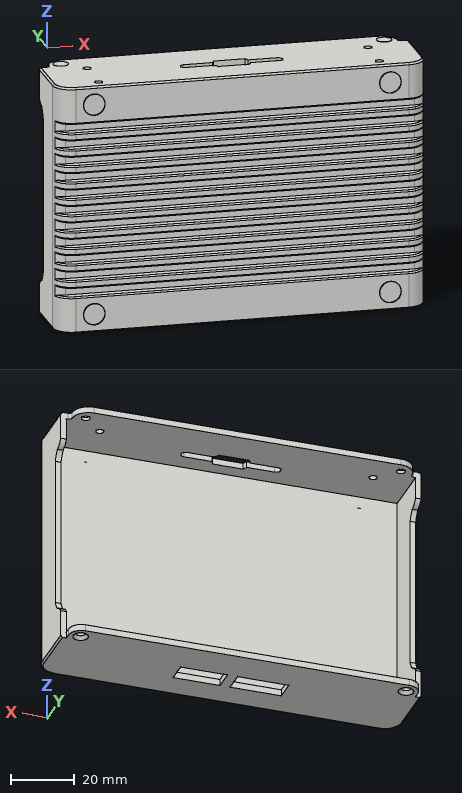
import cadquery as cq
import math

LENGTH = 120.0
DEPTH = 30.0
HEIGHT = 81.0
HALF_LENGTH = LENGTH / 2
CORNER_RADIUS = 6.0
EDGE_CHAMFER = 0.6

PLATE_THICKNESS = 2.2
SIDE_WALL = 1.9
BACK_WALL = 6.0
SHOULDER_Y = 23.6

FIN_COUNT = 10
FIN_THICKNESS = 2.6
FIN_CHAMFER = 0.5
END_BLOCK = 12.1
GROOVE_DEPTH = 3.0
GROOVE_END_Y = 4.2
GROOVE_CORNER_RADIUS = 4.8

CUTOUT_Y = 18.5
CUTOUT_START = 9.5
CUTOUT_KINK = (20.5, 11.9)
CUTOUT_FULL = 15.1
CONVEX_MID = (22.7, 10.7)
CONCAVE_MID = (19.5, 13.2)

TOP_INSET = 3.5
TOP_CORNER_RADIUS = 5.4
TOP_ROOT_RADIUS = 1.0
BOTTOM_INSET = SIDE_WALL
BOTTOM_CORNER_RADIUS = 4.2

SCREW_DIAMETER = 2.8
SCREW_HEAD_DIAMETER = 4.9
SCREW_HEAD_ANGLE = 90.0
SCREW_Y = 25.9
TOP_SCREW_X = 52.5
BOTTOM_SCREW_X = 54.1

PIN_DIAMETER = 2.5
PIN_X = 45.5
THROUGH_PIN_Y = 19.3
BLIND_PIN_Y = 4.5
BLIND_PIN_DEPTH = 6.0
DRILL_TIP_ANGLE = 118.0

SLOT_Y = 14.0
SLOT_LENGTH = 33.1
SLOT_WIDTH = 3.0
SLOT_WIDE_WIDTH = 5.9
SLOT_WIDE_LENGTH = 10.1
SLOT_FLARE = 0.7
WINDOW_EDGE = 18.0
WINDOW_WIDTH = 7.2
WINDOW_BAR = (-1.0, 2.4)

FOOT_DIAMETER = 7.0
FOOT_RECESS = 0.4
FOOT_X = 48.0
FOOT_FROM_END = 6.0


def box(x_range, y_range, z_range):
    """Axis-aligned box between the given limits."""
    size = [high - low for low, high in (x_range, y_range, z_range)]
    corner = (x_range[0], y_range[0], z_range[0])
    return cq.Workplane("XY").box(*size, centered=False).translate(corner)


def outer_half_length(y):
    """Half length of the rounded outline at a given Y inside the corner radius."""
    reach = math.sqrt(CORNER_RADIUS**2 - (CORNER_RADIUS - y) ** 2)
    return HALF_LENGTH - CORNER_RADIUS + reach


GROOVE_END_X = outer_half_length(GROOVE_END_Y)


def make_shell():
    """Chamfered body up to the shoulders, hollowed out from the open side."""
    x_span = (-HALF_LENGTH, HALF_LENGTH)
    body = box(x_span, (0, SHOULDER_Y), (0, HEIGHT))
    body = body.edges("|Z and <Y").fillet(CORNER_RADIUS)
    rim = body.faces("<Z or >Z").edges("not >Y")
    body = rim.chamfer(EDGE_CHAMFER)
    cavity_half = HALF_LENGTH - SIDE_WALL
    cavity = box(
        (-cavity_half, cavity_half),
        (BACK_WALL, DEPTH),
        (PLATE_THICKNESS, HEIGHT - PLATE_THICKNESS),
    )
    return body.cut(cavity)


def make_tab(inset, radius):
    """Part of an end plate that reaches from inside the cavity to the full depth."""
    half = HALF_LENGTH - inset
    tab = box((-half, half), (BACK_WALL, DEPTH), (0, PLATE_THICKNESS))
    return tab.edges("|Z and >Y").fillet(radius)


def make_root_fillet(side):
    """Concave fillet between the top tab and the shoulder on one side."""
    x = side * (HALF_LENGTH - TOP_INSET)
    bend = TOP_ROOT_RADIUS * (1 - math.sqrt(0.5))
    return (
        cq.Workplane("XY")
        .moveTo(x, SHOULDER_Y)
        .lineTo(x + side * TOP_ROOT_RADIUS, SHOULDER_Y)
        .threePointArc((x + side * bend, SHOULDER_Y + bend), (x, SHOULDER_Y + TOP_ROOT_RADIUS))
        .close()
        .extrude(PLATE_THICKNESS)
    )


def add_tabs(body):
    top_tab = make_tab(TOP_INSET, TOP_CORNER_RADIUS)
    for side in (-1, 1):
        top_tab = top_tab.union(make_root_fillet(side))
    top_tab = top_tab.translate((0, 0, HEIGHT - PLATE_THICKNESS))
    return body.union(top_tab).union(make_tab(BOTTOM_INSET, BOTTOM_CORNER_RADIUS))


def cut_side_walls(body):
    """Lower the open edge of both side walls between two S-shaped transitions."""

    def from_top(point):
        return (point[0], HEIGHT - point[1])

    cutter = (
        cq.Workplane("YZ")
        .moveTo(SHOULDER_Y, CUTOUT_START)
        .threePointArc(CONVEX_MID, CUTOUT_KINK)
        .threePointArc(CONCAVE_MID, (CUTOUT_Y, CUTOUT_FULL))
        .lineTo(CUTOUT_Y, HEIGHT - CUTOUT_FULL)
        .threePointArc(from_top(CONCAVE_MID), from_top(CUTOUT_KINK))
        .threePointArc(from_top(CONVEX_MID), (SHOULDER_Y, HEIGHT - CUTOUT_START))
        .close()
        .extrude(HALF_LENGTH, both=True)
    )
    return body.cut(cutter)


def make_fin():
    """One fin with rounded ends and chamfered outer edges, centred on Z = 0."""
    flat_end = HALF_LENGTH - CORNER_RADIUS
    mid_y = GROOVE_END_Y / 3
    mid_x = outer_half_length(mid_y)
    fin = (
        cq.Workplane("XY")
        .workplane(offset=-FIN_THICKNESS / 2)
        .moveTo(-GROOVE_END_X, GROOVE_END_Y)
        .threePointArc((-mid_x, mid_y), (-flat_end, 0))
        .lineTo(flat_end, 0)
        .threePointArc((mid_x, mid_y), (GROOVE_END_X, GROOVE_END_Y))
        .close()
        .extrude(FIN_THICKNESS)
    )
    return fin.faces("<Z or >Z").edges("not >Y").chamfer(FIN_CHAMFER)


def make_groove_floor(bottom, height):
    """Material behind the grooves: a flat floor whose ends curve back to the outline."""
    drop = GROOVE_END_Y - GROOVE_DEPTH
    run = math.sqrt(2 * GROOVE_CORNER_RADIUS * drop - drop**2)
    flat_end = GROOVE_END_X - run
    half_turn = math.asin(run / GROOVE_CORNER_RADIUS) / 2
    mid_x = flat_end + GROOVE_CORNER_RADIUS * math.sin(half_turn)
    mid_y = GROOVE_DEPTH + GROOVE_CORNER_RADIUS * (1 - math.cos(half_turn))
    return (
        cq.Workplane("XY")
        .workplane(offset=bottom)
        .moveTo(-GROOVE_END_X, GROOVE_END_Y)
        .threePointArc((-mid_x, mid_y), (-flat_end, GROOVE_DEPTH))
        .lineTo(flat_end, GROOVE_DEPTH)
        .threePointArc((mid_x, mid_y), (GROOVE_END_X, GROOVE_END_Y))
        .close()
        .extrude(height)
    )


def add_fins(body):
    """Recess the face between the end blocks and refill it with the floor and fins.

    One extra fin at each end is half sunk in its end block and forms the block's chamfer.
    """
    first = END_BLOCK - FIN_THICKNESS / 2
    span = HEIGHT - 2 * first
    pitch = span / (FIN_COUNT + 1)
    x_span = (-HALF_LENGTH, HALF_LENGTH)
    body = body.cut(box(x_span, (0, GROOVE_END_Y), (first, first + span)))
    body = body.union(make_groove_floor(first, span))
    fin = make_fin()
    for index in range(FIN_COUNT + 2):
        body = body.union(fin.translate((0, 0, first + index * pitch)))
    return body


def make_countersunk_cutter():
    """Screw clearance with its conical head seat opening at Z = 0, pointing down."""
    seat_depth = SCREW_HEAD_DIAMETER / 2 / math.tan(math.radians(SCREW_HEAD_ANGLE / 2))
    seat = cq.Solid.makeCone(0, SCREW_HEAD_DIAMETER / 2, seat_depth, cq.Vector(0, 0, -seat_depth))
    shank = cq.Workplane("XY").circle(SCREW_DIAMETER / 2).extrude(-PLATE_THICKNESS)
    return shank.union(cq.Workplane(seat))


def cut_screw_holes(body):
    top_cutter = make_countersunk_cutter()
    bottom_cutter = top_cutter.mirror("XY")
    for side in (-1, 1):
        body = body.cut(top_cutter.translate((side * TOP_SCREW_X, SCREW_Y, HEIGHT)))
        body = body.cut(bottom_cutter.translate((side * BOTTOM_SCREW_X, SCREW_Y, 0)))
    return body


def cut_pin_holes(body):
    """Two holes through the top plate and two drilled into the back wall."""
    radius = PIN_DIAMETER / 2
    tip_length = radius / math.tan(math.radians(DRILL_TIP_ANGLE / 2))
    tip_z = -BLIND_PIN_DEPTH - tip_length
    tip = cq.Solid.makeCone(0, radius, tip_length, cq.Vector(0, 0, tip_z))
    through = cq.Workplane("XY").circle(radius).extrude(-PLATE_THICKNESS)
    blind = cq.Workplane("XY").circle(radius).extrude(-BLIND_PIN_DEPTH).union(cq.Workplane(tip))
    for side in (-1, 1):
        body = body.cut(through.translate((side * PIN_X, THROUGH_PIN_Y, HEIGHT)))
        body = body.cut(blind.translate((side * PIN_X, BLIND_PIN_Y, HEIGHT)))
    return body


def cut_slot(body):
    """Round-ended slot with a wider middle that narrows over sloped corners."""
    half_wide = SLOT_WIDE_LENGTH / 2
    half_flare = half_wide + SLOT_FLARE
    wide_y = SLOT_WIDE_WIDTH / 2
    narrow_y = SLOT_WIDTH / 2
    middle = [
        (-half_flare, -narrow_y),
        (-half_wide, -wide_y),
        (half_wide, -wide_y),
        (half_flare, -narrow_y),
        (half_flare, narrow_y),
        (half_wide, wide_y),
        (-half_wide, wide_y),
        (-half_flare, narrow_y),
    ]
    slot = cq.Workplane("XY").slot2D(SLOT_LENGTH, SLOT_WIDTH).extrude(-PLATE_THICKNESS)
    slot = slot.union(cq.Workplane("XY").polyline(middle).close().extrude(-PLATE_THICKNESS))
    return body.cut(slot.translate((0, SLOT_Y, HEIGHT)))


def cut_windows(body):
    """Two rectangular windows in the bottom plate with a bar left between them."""
    y_range = (SLOT_Y - WINDOW_WIDTH / 2, SLOT_Y + WINDOW_WIDTH / 2)
    for x_range in ((-WINDOW_EDGE, WINDOW_BAR[0]), (WINDOW_BAR[1], WINDOW_EDGE)):
        body = body.cut(box(x_range, y_range, (0, PLATE_THICKNESS)))
    return body


def cut_feet(body):
    foot = cq.Workplane("XZ").circle(FOOT_DIAMETER / 2).extrude(-FOOT_RECESS)
    for x in (-FOOT_X, FOOT_X):
        for z in (FOOT_FROM_END, HEIGHT - FOOT_FROM_END):
            body = body.cut(foot.translate((x, 0, z)))
    return body


result = make_shell()
result = cut_side_walls(result)
result = add_tabs(result)
result = add_fins(result)
result = cut_screw_holes(result)
result = cut_pin_holes(result)
result = cut_slot(result)
result = cut_windows(result)
result = cut_feet(result)